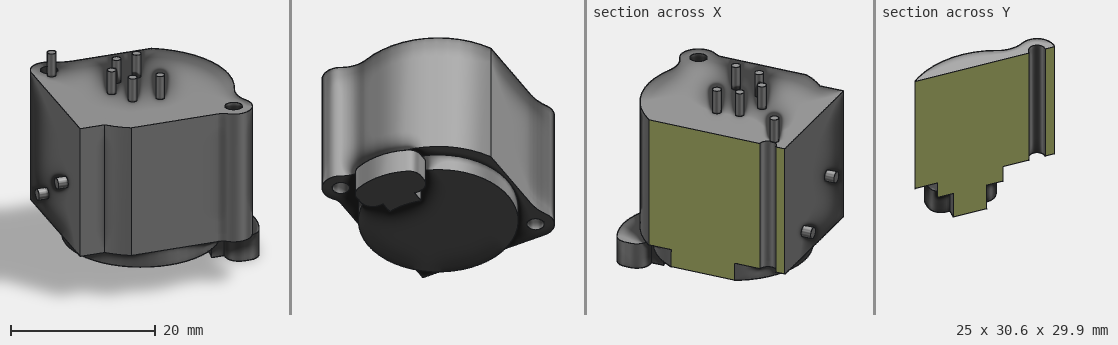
import cadquery as cq
import math

body_radius = 12.85
body_height = 19.5
half_width = 11.48
notch_x = 9.28
ear_offset = 9.9
ear_radius = 2.6
ear_hole_radius = 1.2
front_y = -ear_offset - ear_radius
top_blend_radius = 4.38
right_blend_radius = 2.0
left_blend_radius = 7.0

collar_radius = 11.02
collar_height = 2.63

key_bottom_z = -6.9
key_head_top_z = -3.1
key_half_width = 5.02
key_rear_y = 16.7
key_inner_y = 11.27
key_rear_radius = 10.0
key_corner_radius = 2.0
neck_half_width = 2.48
neck_inner_radius = 9.75

top_pin_radius = 0.6
top_pin_length = 3.5
top_pin_centers = [
    (-3.8, 0.7),
    (3.8, 1.35),
    (-3.18, -2.48),
    (3.18, -2.48),
    (0, -4.38),
    (-8.27, -10.15),
]
front_pin_radius = 0.8
front_pin_length = 1.45
front_pin_places = [(-3.8, 3.85), (3.8, 8.95)]


def toward(start, end, distance):
    """Point at a given distance from start on the ray through end."""
    fraction = distance / math.dist(start, end)
    return (
        start[0] + fraction * (end[0] - start[0]),
        start[1] + fraction * (end[1] - start[1]),
    )


def arc_middle(center, start, end, radius):
    """Middle point of the shorter arc between two points of a circle."""
    chord_middle = ((start[0] + end[0]) / 2, (start[1] + end[1]) / 2)
    return toward(center, chord_middle, radius)


def flat_blend_center(ear_center, blend_radius):
    """Center of a blend outside the nearest flat, on the inner side of the ear."""
    x_side = math.copysign(1, ear_center[0])
    x = x_side * (half_width + blend_radius)
    y_gap = math.sqrt((ear_radius + blend_radius) ** 2 - (x - ear_center[0]) ** 2)
    return (x, ear_center[1] - math.copysign(y_gap, ear_center[1]))


def make_body():
    axis = (0, 0)
    rear_ear = (ear_offset, ear_offset)
    front_ear = (-ear_offset, -ear_offset)

    axis_distance = body_radius + top_blend_radius
    ear_distance = ear_radius + top_blend_radius
    spacing = math.hypot(*rear_ear)
    along = (axis_distance**2 - ear_distance**2 + spacing**2) / (2 * spacing)
    across = math.sqrt(axis_distance**2 - along**2)
    diagonal = math.sqrt(0.5)
    top_blend = ((along - across) * diagonal, (along + across) * diagonal)
    right_blend = flat_blend_center(rear_ear, right_blend_radius)
    left_blend = flat_blend_center(front_ear, left_blend_radius)

    left_corner = (-half_width, math.sqrt(body_radius**2 - half_width**2))
    right_corner = (half_width, -left_corner[1])
    notch_corner = (notch_x, -math.sqrt(body_radius**2 - notch_x**2))
    cylinder_end = toward(axis, top_blend, body_radius)
    rear_ear_start = toward(rear_ear, top_blend, ear_radius)
    rear_ear_end = toward(rear_ear, right_blend, ear_radius)
    right_flat_top = (half_width, right_blend[1])
    front_ear_start = (-ear_offset, front_y)
    front_ear_end = toward(front_ear, left_blend, ear_radius)
    left_flat_bottom = (-half_width, left_blend[1])

    outline = (
        cq.Workplane("XY")
        .moveTo(*left_corner)
        .threePointArc(arc_middle(axis, left_corner, cylinder_end, body_radius), cylinder_end)
        .threePointArc(
            arc_middle(top_blend, cylinder_end, rear_ear_start, top_blend_radius), rear_ear_start
        )
        .threePointArc(arc_middle(rear_ear, rear_ear_start, rear_ear_end, ear_radius), rear_ear_end)
        .threePointArc(
            arc_middle(right_blend, rear_ear_end, right_flat_top, right_blend_radius), right_flat_top
        )
        .lineTo(*right_corner)
        .threePointArc(arc_middle(axis, right_corner, notch_corner, body_radius), notch_corner)
        .lineTo(notch_x, front_y)
        .lineTo(*front_ear_start)
        .threePointArc(
            arc_middle(front_ear, front_ear_start, front_ear_end, ear_radius), front_ear_end
        )
        .threePointArc(
            arc_middle(left_blend, front_ear_end, left_flat_bottom, left_blend_radius),
            left_flat_bottom,
        )
        .close()
    )
    holes = (
        cq.Workplane("XY").pushPoints([rear_ear, front_ear]).circle(ear_hole_radius).extrude(body_height)
    )
    return outline.extrude(body_height).cut(holes)


def make_key_head():
    rear_center = (0, key_rear_y - key_rear_radius)
    corner_x = key_half_width - key_corner_radius
    corner_y = rear_center[1] + math.sqrt((key_rear_radius - key_corner_radius) ** 2 - corner_x**2)
    rear_right = toward(rear_center, (corner_x, corner_y), key_rear_radius)
    rear_left = (-rear_right[0], rear_right[1])
    side_front_y = key_inner_y + key_corner_radius
    return (
        cq.Workplane("XY")
        .workplane(offset=key_bottom_z)
        .moveTo(-corner_x, key_inner_y)
        .lineTo(corner_x, key_inner_y)
        .radiusArc((key_half_width, side_front_y), -key_corner_radius)
        .lineTo(key_half_width, corner_y)
        .radiusArc(rear_right, -key_corner_radius)
        .threePointArc((0, key_rear_y), rear_left)
        .radiusArc((-key_half_width, corner_y), -key_corner_radius)
        .lineTo(-key_half_width, side_front_y)
        .radiusArc((-corner_x, key_inner_y), -key_corner_radius)
        .close()
        .extrude(key_head_top_z - key_bottom_z)
    )


def make_key_neck():
    """Ring sector under the collar, reaching back into the key head at its lower part."""

    def neck_block(rear_y, top_z):
        return cq.Workplane("XY").box(
            2 * neck_half_width, rear_y, top_z - key_bottom_z, centered=(True, False, False)
        ).translate((0, 0, key_bottom_z))

    outer = cq.Workplane("XY").workplane(offset=key_bottom_z).circle(collar_radius)
    inner = cq.Workplane("XY").workplane(offset=key_bottom_z).circle(neck_inner_radius)
    upper_neck = outer.extrude(-key_bottom_z).intersect(neck_block(collar_radius, -collar_height))
    lower_neck = neck_block(key_inner_y, key_head_top_z)
    return upper_neck.union(lower_neck).cut(inner.extrude(-key_bottom_z))


def make_top_pins():
    return (
        cq.Workplane("XY")
        .workplane(offset=body_height)
        .pushPoints(top_pin_centers)
        .circle(top_pin_radius)
        .extrude(top_pin_length)
    )


def make_front_pins():
    return (
        cq.Workplane("XZ", origin=(0, front_y, 0))
        .pushPoints(front_pin_places)
        .circle(front_pin_radius)
        .extrude(front_pin_length)
    )


collar = cq.Workplane("XY").circle(collar_radius).extrude(-collar_height)

result = (
    make_body()
    .union(collar)
    .union(make_key_neck())
    .union(make_key_head())
    .union(make_top_pins())
    .union(make_front_pins())
)